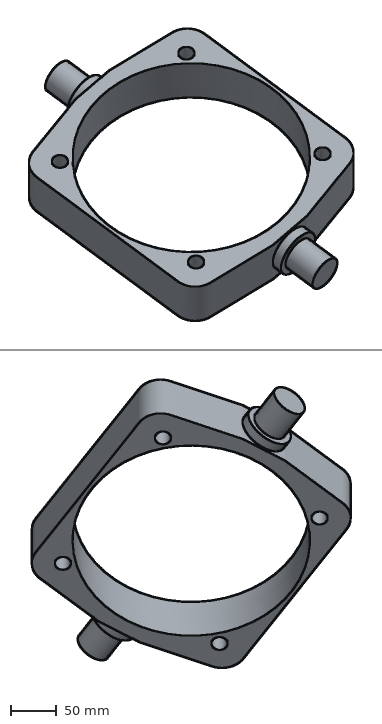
import cadquery as cq
import math

length_y = 270.0
height = 62.0
bore_diameter = 260.0
side_flat_span = 295.0
side_taper = 10.0
corner_radius = 28.0

overall_length = 400.0
collar_span = 319.0
collar_diameter = 55.0
pin_diameter = 40.0

bolt_circle_diameter = 288.0
bolt_hole_diameter = 17.5


def make_frame():
    """Solid plate with tapered sides and rounded corners, centred on the origin."""
    flat_x = side_flat_span / 2
    flat_y = collar_diameter / 2
    corner_y = length_y / 2
    corner_x = flat_x - (corner_y - flat_y) * math.tan(math.radians(side_taper))
    outline = [
        (flat_x, -flat_y),
        (flat_x, flat_y),
        (corner_x, corner_y),
        (-corner_x, corner_y),
        (-flat_x, flat_y),
        (-flat_x, -flat_y),
        (-corner_x, -corner_y),
        (corner_x, -corner_y),
    ]
    plate = cq.Workplane("XY").polyline(outline).close().extrude(height / 2, both=True)
    corner_edges = plate.edges("|Z and (>Y or <Y)")
    return corner_edges.fillet(corner_radius)


def make_cross_shaft(diameter, span):
    """Round bar along X, centred on the origin."""
    return cq.Workplane("YZ").circle(diameter / 2).extrude(span / 2, both=True)


def make_vertical_cutter(diameter):
    """Round cutter along Z, passing through the full height of the frame and trunnions."""
    return cq.Workplane("XY").circle(diameter / 2).extrude(height, both=True)


frame = make_frame()
collars = make_cross_shaft(collar_diameter, collar_span)
pins = make_cross_shaft(pin_diameter, overall_length)
bore = make_vertical_cutter(bore_diameter)

result = frame.union(collars).union(pins).cut(bore)

bolt_offset = bolt_circle_diameter / 2 * math.cos(math.radians(45))
for x_side in (-1, 1):
    for y_side in (-1, 1):
        position = (x_side * bolt_offset, y_side * bolt_offset, 0)
        bolt_hole = make_vertical_cutter(bolt_hole_diameter).translate(position)
        result = result.cut(bolt_hole)